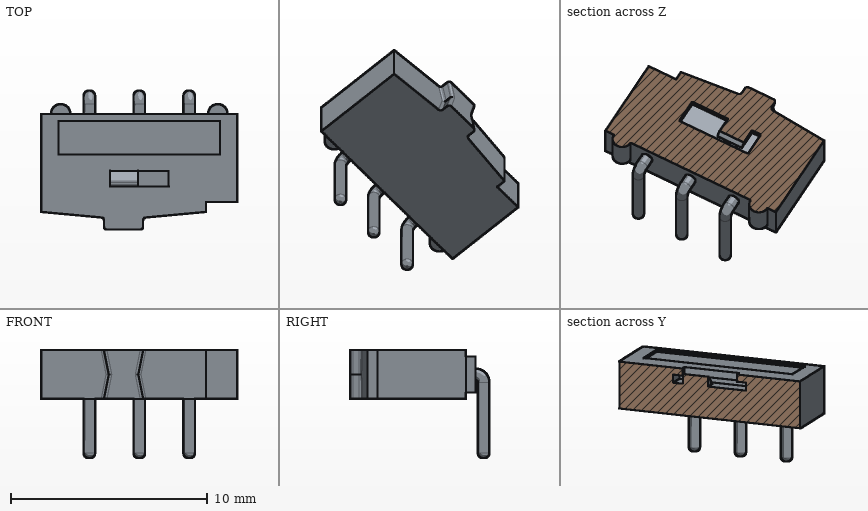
import cadquery as cq
import math

body_length = 10.0
body_depth = 4.5
body_height = 2.5
mid_height = body_height / 2

label_length = 8.2
label_width = 1.7
label_back_margin = 0.37
label_depth = 0.1

window_length = 3.0
window_width = 0.8
window_front = 0.8
top_wall = 0.4
cavity_length = 4.0
cavity_width = 1.3
cavity_height = 0.4

tooth_length = 1.43
tooth_crest_width = 0.25
tooth_slope_angle = 45.0
tooth_round = 0.1

boss_radius = 0.5
boss_height = 1.84
boss_spacing = 8.0

slider_length = 8.4
slider_end_depth = 0.5
slider_waist_depth = 0.82
slider_centre = (slider_length - body_length) / 2

knob_width = 2.0
knob_reach = 1.4
knob_waist = 0.25
knob_round = 0.15

pin_radius = 0.3
pin_pitch = 2.54
pin_offset = 0.9
pin_bend_radius = 0.4
pin_bottom = -3.01
pin_tip_round = 0.25


def box(length, width, height, y_front, z_bottom):
    """Box centred on X, running back from y_front and up from z_bottom."""
    block = cq.Workplane("XY").box(length, width, height, centered=(True, False, False))
    return block.translate((0, y_front, z_bottom))


def make_housing():
    housing = box(body_length, body_depth, body_height, 0, 0)
    label_front = body_depth - label_back_margin - label_width
    label = box(label_length, label_width, label_depth, label_front, body_height - label_depth)
    window_floor = body_height - top_wall
    window = box(window_length, window_width, top_wall, window_front, window_floor)
    cavity = box(cavity_length, cavity_width, cavity_height, window_front, window_floor - cavity_height)
    return housing.cut(label).cut(window).cut(cavity)


def make_tooth():
    """Wedge on the cavity floor: upright front, flat crest flush with the top, sloping back."""
    floor = body_height - top_wall - cavity_height
    crest_back = window_front + tooth_crest_width
    slope_run = (body_height - floor) / math.tan(math.radians(tooth_slope_angle))
    tooth = (
        cq.Workplane("YZ")
        .moveTo(window_front, floor)
        .lineTo(window_front, body_height)
        .lineTo(crest_back, body_height)
        .lineTo(crest_back + slope_run, floor)
        .close()
        .extrude(tooth_length)
    )
    tooth = tooth.faces(">Z").edges("|X").fillet(tooth_round)
    return tooth.translate((-window_length / 2, 0, 0))


def make_slider():
    """Bar with sloping front faces and a knob whose sides pinch in at mid height."""
    half_length = slider_length / 2
    half_knob = knob_width / 2
    half_waist = half_knob - knob_waist
    bar = (
        cq.Workplane("XY")
        .moveTo(-half_length, 0)
        .lineTo(-half_length, -slider_end_depth)
        .lineTo(-half_waist, -slider_waist_depth)
        .lineTo(half_waist, -slider_waist_depth)
        .lineTo(half_length, -slider_end_depth)
        .lineTo(half_length, 0)
        .close()
        .extrude(body_height)
    )
    knob = (
        cq.Workplane("XZ")
        .moveTo(-half_knob, 0)
        .lineTo(-half_waist, mid_height)
        .lineTo(-half_knob, body_height)
        .lineTo(half_knob, body_height)
        .lineTo(half_waist, mid_height)
        .lineTo(half_knob, 0)
        .close()
        .extrude(knob_reach)
    )
    slider = bar.union(knob)
    slider = slider.faces("<Y").edges("not |X").fillet(knob_round)
    root_zone = cq.selectors.BoxSelector(
        (-half_knob, -slider_waist_depth, 0),
        (half_knob, -slider_end_depth, body_height),
    )
    slider = slider.edges(root_zone).fillet(knob_round)
    return slider.translate((slider_centre, 0, 0))


def make_boss(x):
    boss = cq.Workplane("XY").circle(boss_radius).extrude(boss_height)
    return boss.translate((x, body_depth, (body_height - boss_height) / 2))


def make_pin(x):
    """Round pin leaving the back face at mid height and bending straight down."""
    pin_y = body_depth + pin_offset
    path = (
        cq.Workplane("YZ")
        .moveTo(body_depth, mid_height)
        .lineTo(pin_y - pin_bend_radius, mid_height)
        .tangentArcPoint((pin_y, mid_height - pin_bend_radius), relative=False)
        .lineTo(pin_y, pin_bottom)
    )
    section = cq.Workplane("XZ", origin=(0, body_depth, mid_height)).circle(pin_radius)
    pin = section.sweep(path).faces("<Z").edges().fillet(pin_tip_round)
    return pin.translate((x, 0, 0))


result = make_housing().union(make_tooth()).union(make_slider())

for side in (-1, 1):
    result = result.union(make_boss(side * boss_spacing / 2))

for position in (-1, 0, 1):
    result = result.union(make_pin(position * pin_pitch))